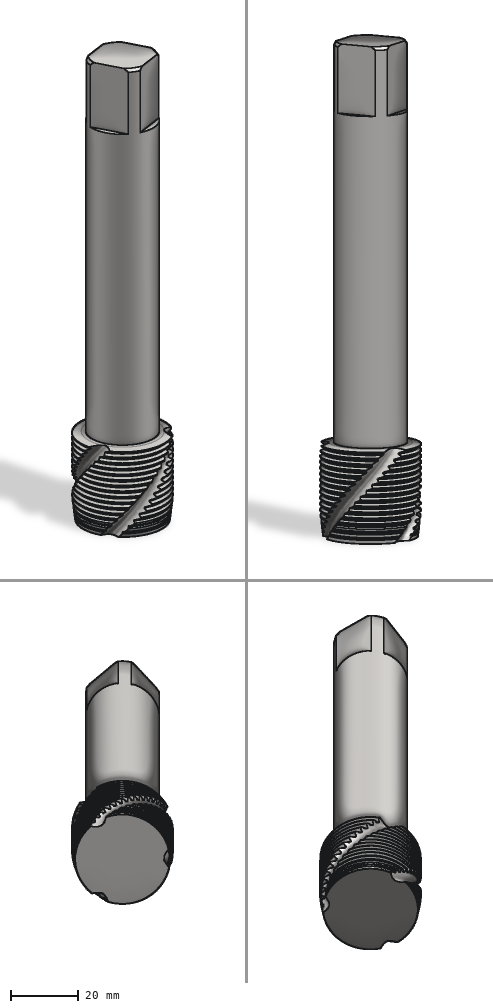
import cadquery as cq
import math

TOTAL_LENGTH = 150.0
THREAD_DIAMETER = 30.2
THREAD_PITCH = 25.4 / 14
THREAD_LENGTH = 28.0
THREAD_COUNT = 16
LOWEST_CREST_HEIGHT = 0.68
THREAD_DEPTH = 0.64 * THREAD_PITCH
THREAD_FLANK_ANGLE = 27.5
SHANK_DIAMETER = 22.0
SQUARE_WIDTH = 18.0
SQUARE_LENGTH = 21.0
SQUARE_TIP_RADIUS = 10.3
SQUARE_TIP_HEIGHT = 1.0

LEAD_LENGTH = 4 * THREAD_PITCH
LEAD_TIP_RADIUS = 14.2
SHOULDER_RADIUS = 12.4
SHOULDER_ANGLE = 10.0

FLUTE_COUNT = 3
FLUTE_HELIX_ANGLE = 45.5
FLUTE_FLOOR_RADIUS = 12.4
FLUTE_HALF_WIDTH = 4.1
FLUTE_HALF_ANGLE = 50.0
FLUTE_OVERCUT = 0.5

thread_radius = THREAD_DIAMETER / 2
shank_radius = SHANK_DIAMETER / 2
shoulder_height = (thread_radius - SHOULDER_RADIUS) * math.tan(math.radians(SHOULDER_ANGLE))
head_length = THREAD_LENGTH + shoulder_height
flute_lead = math.pi * THREAD_DIAMETER / math.tan(math.radians(FLUTE_HELIX_ANGLE))
flute_twist = 360 * head_length / flute_lead


def revolve_about_axis(points):
    """Revolve a closed (radius, height) outline about the Z axis."""
    return cq.Workplane("XZ").polyline(points).close().revolve(360, (0, 0), (0, 1))


def make_head_blank():
    """Plain head with the tapered lead at the bottom and the conical shoulder at the top."""
    return revolve_about_axis([
        (0, 0),
        (LEAD_TIP_RADIUS, 0),
        (thread_radius, LEAD_LENGTH),
        (thread_radius, THREAD_LENGTH),
        (SHOULDER_RADIUS, head_length),
        (0, head_length),
    ])


def make_thread_groove(height):
    """Ring-shaped groove below a thread crest."""
    flank_run = THREAD_DEPTH * math.tan(math.radians(THREAD_FLANK_ANGLE))
    flat_half = (THREAD_PITCH / 2 - flank_run) / 2
    mouth_half = flat_half + flank_run
    root_radius = thread_radius - THREAD_DEPTH
    return revolve_about_axis([
        (root_radius, height - flat_half),
        (thread_radius, height - mouth_half),
        (thread_radius + THREAD_DEPTH, height - mouth_half),
        (thread_radius + THREAD_DEPTH, height + mouth_half),
        (thread_radius, height + mouth_half),
        (root_radius, height + flat_half),
    ])


def make_flute(top_angle):
    """Right-hand helical groove with a smoothly curved floor, ending at top_angle on the head's top."""
    flank_slope = math.tan(math.radians(FLUTE_HALF_ANGLE))
    outer_x = thread_radius + FLUTE_OVERCUT
    outer_y = FLUTE_HALF_WIDTH + FLUTE_OVERCUT * flank_slope
    flute = (
        cq.Workplane("XY")
        .moveTo(outer_x, -outer_y)
        .spline(
            [(FLUTE_FLOOR_RADIUS, 0), (outer_x, outer_y)],
            tangents=[(-1, flank_slope), (0, 1), (1, flank_slope)],
            includeCurrent=True,
        )
        .close()
        .twistExtrude(head_length, flute_twist)
    )
    return flute.rotate((0, 0, 0), (0, 0, 1), top_angle - flute_twist)


def make_head():
    """Threaded and fluted cutting head, standing on Z = 0."""
    head = make_head_blank()
    for index in range(THREAD_COUNT):
        groove_height = LOWEST_CREST_HEIGHT + (index - 0.5) * THREAD_PITCH
        head = head.cut(make_thread_groove(groove_height))
    for index in range(FLUTE_COUNT):
        head = head.cut(make_flute(-90 + index * 360 / FLUTE_COUNT))
    return head


def make_shank():
    """Round shank with a driving square at its top, resting on the head."""
    square_bottom = TOTAL_LENGTH - SQUARE_LENGTH
    shank = revolve_about_axis([
        (0, head_length),
        (shank_radius, head_length),
        (shank_radius, TOTAL_LENGTH - SQUARE_TIP_HEIGHT),
        (SQUARE_TIP_RADIUS, TOTAL_LENGTH),
        (0, TOTAL_LENGTH),
    ])
    flats = (
        cq.Workplane("XY")
        .workplane(offset=square_bottom)
        .rect(2 * SHANK_DIAMETER, 2 * SHANK_DIAMETER)
        .rect(SQUARE_WIDTH, SQUARE_WIDTH)
        .extrude(SQUARE_LENGTH)
    )
    return shank.cut(flats)


head = make_head()
shank = make_shank()

result = cq.Compound.makeCompound([*head.solids().vals(), shank.solids().val()])